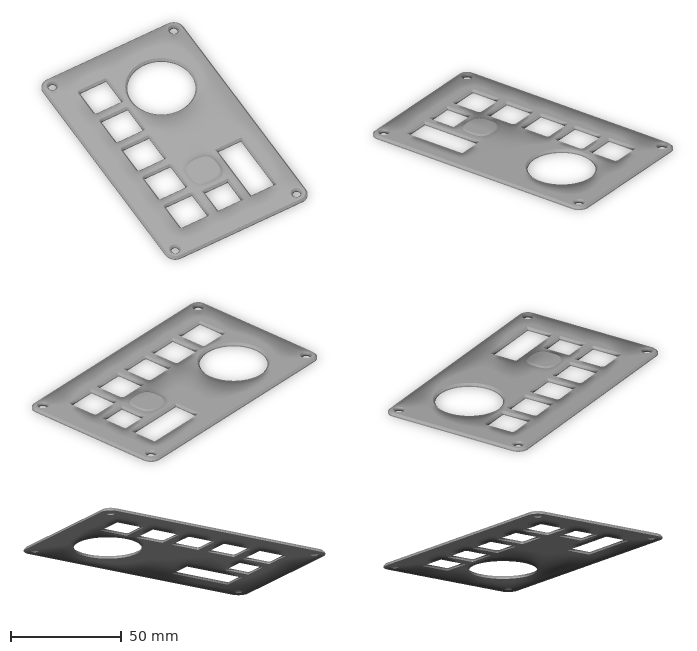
import cadquery as cq
import math

plate_length = 119.2
plate_width = 73.8
plate_thickness = 1.5
corner_radius = 5.0
bevel = 1.0

screw_hole_diameter = 3.5
screw_x = plate_length / 2 - corner_radius
screw_y = plate_width / 2 - corner_radius

gauge_diameter = 30.9
gauge_center = (-29.2, 10.4)

openings_right = 44.9

display_length = 29.5
display_width = 12.2
display_center = (openings_right - display_length / 2, 19.8)

switch_size = 12.2
switch_center = (openings_right - switch_size / 2, 2.5)

key_count = 5
key_pitch = 19.1
key_size = 14.0
key_corner_radius = 0.5
key_row_y = -16.1
last_key_x = openings_right - key_size / 2

badge_height = 0.5
badge_size = 15.4
badge_slope_run = 1.0
badge_center = (21.9, switch_center[1])
badge_exponent = 2.8
badge_points = 32


def make_plate():
    return (
        cq.Workplane("XY")
        .rect(plate_length, plate_width)
        .extrude(plate_thickness)
        .edges("|Z")
        .fillet(corner_radius)
        .faces(">Z")
        .chamfer(bevel)
    )


def round_opening(center, diameter):
    """Cutter for a round hole that flares out by the bevel at the top face."""
    clear_radius = diameter / 2
    straight_depth = plate_thickness - bevel
    return (
        cq.Workplane("XZ")
        .polyline([
            (0, 0),
            (clear_radius, 0),
            (clear_radius, straight_depth),
            (clear_radius + bevel, plate_thickness),
            (0, plate_thickness),
        ])
        .close()
        .revolve(360, (0, 0), (0, 1))
        .translate((*center, 0))
    )


def rectangular_opening(center, length, width, corner=0):
    """Cutter for a rectangular hole that flares out by the bevel at the top face."""
    straight_depth = plate_thickness - bevel

    def section(growth):
        sketch = cq.Sketch().rect(length + 2 * growth, width + 2 * growth)
        if corner:
            sketch = sketch.vertices().fillet(corner + growth)
        return sketch

    clear = cq.Workplane("XY").placeSketch(section(0)).extrude(straight_depth)
    flare = (
        cq.Workplane("XY")
        .workplane(offset=straight_depth)
        .placeSketch(section(0), section(bevel).moved(cq.Location(cq.Vector(0, 0, bevel))))
        .loft()
    )
    return clear.union(flare).translate((*center, 0))


def superellipse_points(size):
    """Points around a rounded-square curve of the given overall size."""
    def coordinate(value):
        return size / 2 * math.copysign(abs(value) ** (2 / badge_exponent), value)

    angles = [2 * math.pi * i / badge_points for i in range(badge_points)]
    return [(coordinate(math.cos(a)), coordinate(math.sin(a))) for a in angles]


def make_badge():
    return (
        cq.Workplane("XY", origin=(*badge_center, plate_thickness))
        .spline(superellipse_points(badge_size), periodic=True)
        .close()
        .workplane(offset=badge_height)
        .spline(superellipse_points(badge_size - 2 * badge_slope_run), periodic=True)
        .close()
        .loft()
    )


result = make_plate()

for side_x in (-1, 1):
    for side_y in (-1, 1):
        result = result.cut(round_opening((side_x * screw_x, side_y * screw_y), screw_hole_diameter))

result = result.cut(round_opening(gauge_center, gauge_diameter))
result = result.cut(rectangular_opening(display_center, display_length, display_width))
result = result.cut(rectangular_opening(switch_center, switch_size, switch_size))

for index in range(key_count):
    key_center = (last_key_x - index * key_pitch, key_row_y)
    result = result.cut(rectangular_opening(key_center, key_size, key_size, key_corner_radius))

result = result.union(make_badge())